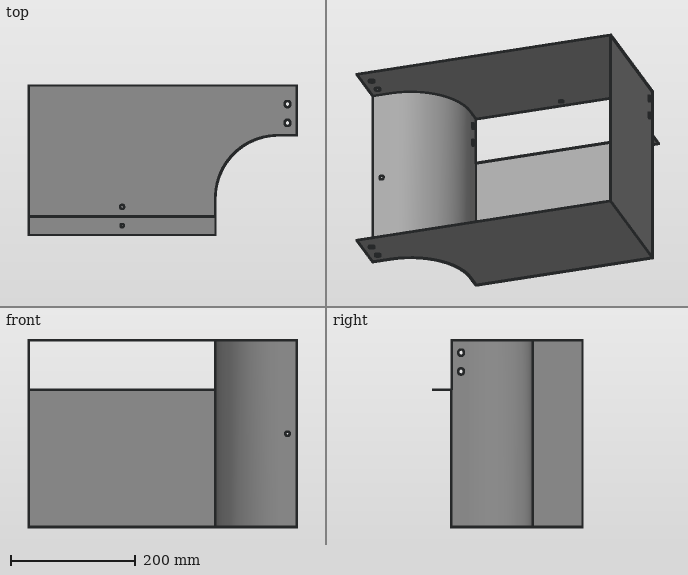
import cadquery as cq

length = 430.0
height = 300.0
sheet = 1.0
lip = 30.0
overall_depth = 240.0
depth = overall_depth - lip
arc_radius = 100.0
front_length = length - lip - arc_radius
neck_depth = depth - lip - arc_radius
flange_top = 221.0
arc_x = length - lip
arc_y = -neck_depth - sheet - arc_radius
plate_radius = arc_radius + sheet
arc_diagonal = arc_radius * 0.5 ** 0.5
plate_diagonal = plate_radius * 0.5 ** 0.5

fixing_dia = 7.0
slot_width = 8.5
slot_length = 10.0
flange_hole_dia = 5.0
edge_offset = lip / 2
pair_near = 20.0
pair_pitch = 30.0
roof_pair_near = 30.0


def plate(bottom):
    """Horizontal plate with the recess in its front right corner."""
    return (
        cq.Workplane("XY", origin=(0, 0, bottom))
        .lineTo(length, 0)
        .lineTo(length, -neck_depth)
        .lineTo(arc_x, -neck_depth)
        .threePointArc(
            (arc_x - plate_diagonal, arc_y + plate_diagonal),
            (arc_x - plate_radius, arc_y),
        )
        .lineTo(front_length, arc_y)
        .lineTo(front_length, -depth)
        .lineTo(0, -depth)
        .close()
        .extrude(sheet)
    )


def box(x_range, y_range, z_range):
    """Box between pairs of limits."""
    sizes = [limits[1] - limits[0] for limits in (x_range, y_range, z_range)]
    corner = (x_range[0], y_range[0], z_range[0])
    return cq.Workplane("XY").box(*sizes, centered=False).translate(corner)


def drill(start, direction, diameter, reach):
    """Cylindrical cutter running from start along direction."""
    cutter = cq.Solid.makeCylinder(diameter / 2, reach, cq.Vector(*start), cq.Vector(*direction))
    return cq.Workplane(cutter)


def slot(plane, start, reach):
    """Slightly oblong cutter from start along the plane's normal."""
    return (
        cq.Workplane(plane, origin=start)
        .slot2D(slot_length, slot_width, angle=90)
        .extrude(reach)
    )


left_wall = box((0, sheet), (-depth, 0), (0, height))
right_strip = box((front_length - sheet, front_length), (-depth, arc_y), (0, height))
result = plate(0).union(plate(height - sheet)).union(left_wall).union(right_strip)

lining = (
    cq.Workplane("XY")
    .moveTo(length, -neck_depth)
    .lineTo(arc_x, -neck_depth)
    .threePointArc(
        (arc_x - plate_diagonal, arc_y + plate_diagonal),
        (arc_x - plate_radius, arc_y),
    )
    .lineTo(front_length, arc_y)
    .threePointArc(
        (arc_x - arc_diagonal, arc_y + arc_diagonal),
        (arc_x, -neck_depth - sheet),
    )
    .lineTo(length, -neck_depth - sheet)
    .close()
    .extrude(height)
)
result = result.union(lining)

front_plate = box((0, front_length), (-depth - sheet, -depth), (0, flange_top))
flange = box(
    (0, front_length),
    (-overall_depth, -depth),
    (flange_top - sheet, flange_top),
)
result = result.union(front_plate).union(flange)

for distance in (roof_pair_near, roof_pair_near + pair_pitch):
    result = result.cut(slot("XY", (length - edge_offset, -distance, 0), height))

for distance in (pair_near, pair_near + pair_pitch):
    start = (0, edge_offset - depth, height - distance)
    result = result.cut(slot("YZ", start, front_length))

strip_hole = drill((length - edge_offset, -neck_depth - sheet, height / 2), (0, 1, 0), fixing_dia, sheet)
result = result.cut(strip_hole)

mid_front = front_length / 2
roof_hole = drill((mid_front, edge_offset - depth, height - sheet), (0, 0, 1), fixing_dia, sheet)
flange_hole = drill(
    (mid_front, edge_offset - overall_depth, flange_top - sheet),
    (0, 0, 1),
    flange_hole_dia,
    sheet,
)
result = result.cut(roof_hole).cut(flange_hole)